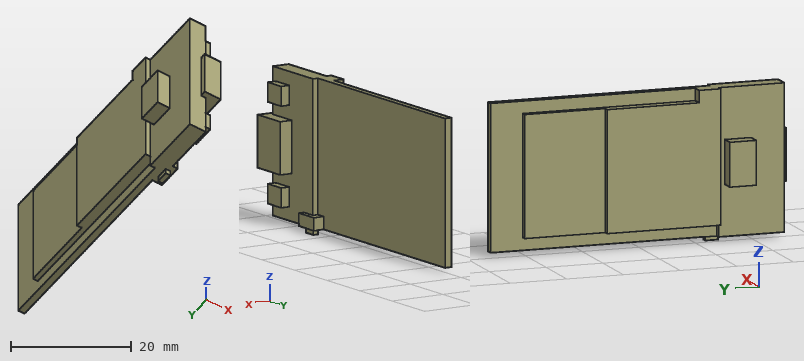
import cadquery as cq


board_length = 51.5
board_height = 25.3
board_left = 0.95
board_right = 2.22

block_thickness = 3.17
block_left_length = 11.6
block_right_length = 12.4

display_bottom = 2.2
display_height = 21.0
display_top = display_bottom + display_height
display_left = -0.95
display_low_tier_left = 0.0
display_low_tier_end = 45.8
display_high_tier_end = 31.6
display_shoulder_end = 15.4

button_projection = 2.45
button_start = 5.9
button_length = 4.6
button_height = 7.6

connector_right = 5.45
connector_overhang = 1.1
connector_length = 7.0
connector_height = 9.0

pad_projection = 1.6
pad_start = 0.95
pad_length = 4.15
pad_height = 3.35
pad_offset = 8.6

switch_right = 4.15
switch_start = 9.6
switch_length = 4.6
switch_height = 2.2
slider_left = 2.55
slider_thickness = 0.95
slider_length = 2.25
slider_projection = 1.0

mid_height = board_height / 2


def box(x_range, y_range, z_range):
    """Axis-aligned box between the given limits on each axis."""
    x_min, x_max = x_range
    y_min, y_max = y_range
    z_min, z_max = z_range
    return cq.Workplane("XY").box(
        x_max - x_min, y_max - y_min, z_max - z_min, centered=False
    ).translate((x_min, y_min, z_min))


def centred_range(centre, size):
    """Limits of a span of the given size about its centre."""
    return (centre - size / 2, centre + size / 2)


def make_board():
    full_height = (0, board_height)
    board = box((board_left, board_right), (0, board_length), full_height)
    left_half = box((0, board_right), (0, block_left_length), full_height)
    right_half = box((board_left, block_thickness), (0, block_right_length), full_height)
    return board.union(left_half).union(right_half)


def make_display():
    display_z = (display_bottom, display_top)
    low_tier = box(
        (display_low_tier_left, board_right), (block_left_length, display_low_tier_end), display_z
    )
    high_tier = box((display_left, board_right), (block_left_length, display_high_tier_end), display_z)
    shoulder = box(
        (display_left, board_right),
        (block_left_length, display_shoulder_end),
        (display_bottom, board_height),
    )
    return low_tier.union(high_tier).union(shoulder)


def make_button():
    return box(
        (-button_projection, block_thickness),
        (button_start, button_start + button_length),
        centred_range(mid_height, button_height),
    )


def make_connector():
    return box(
        (board_right, connector_right),
        (-connector_overhang, connector_length - connector_overhang),
        centred_range(mid_height, connector_height),
    )


def make_pad(side):
    return box(
        (board_right, block_thickness + pad_projection),
        (pad_start, pad_start + pad_length),
        centred_range(mid_height + side * pad_offset, pad_height),
    )


def make_switch():
    body = box(
        (board_left, switch_right), (switch_start, switch_start + switch_length), (0, switch_height)
    )
    slider = box(
        (slider_left, slider_left + slider_thickness),
        centred_range(switch_start + switch_length / 2, slider_length),
        (-slider_projection, switch_height),
    )
    return body.union(slider)


result = make_board()
result = result.union(make_display())
result = result.union(make_button())
result = result.union(make_connector())
for side in (-1, 1):
    result = result.union(make_pad(side))
result = result.union(make_switch())
result = result.clean()